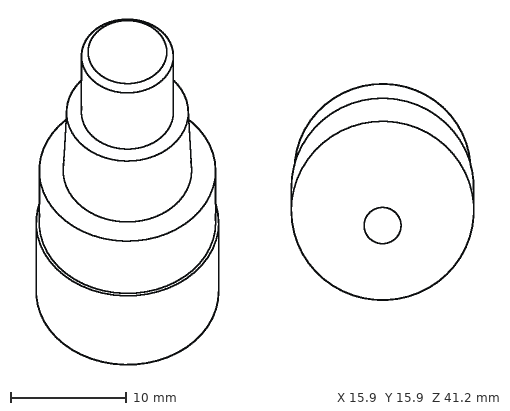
import cadquery as cq

total_height = 41.25
tip_diameter = 3.2
head_diameter = 15.9
cone_height = 6.45
head_height = 10.02
collar_diameter = 15.35
collar_height = 7.6
taper_base_diameter = 11.18
taper_top_diameter = 10.6
taper_height = 8.45
pin_diameter = 8.0
pin_chamfer = 0.58

head_base = cone_height
collar_base = head_base + head_height
taper_base = collar_base + collar_height
pin_base = taper_base + taper_height


def make_head():
    """Cylindrical head that narrows to a flat tip at the bottom."""
    profile = [
        (0, 0),
        (tip_diameter / 2, 0),
        (head_diameter / 2, head_base),
        (head_diameter / 2, collar_base),
        (0, collar_base),
    ]
    return cq.Workplane("XZ").polyline(profile).close().revolve(360, (0, 0), (0, 1))


def make_shank():
    """Stepped shank: collar, tapered neck and chamfered pin."""
    profile = [
        (0, collar_base),
        (collar_diameter / 2, collar_base),
        (collar_diameter / 2, taper_base),
        (taper_base_diameter / 2, taper_base),
        (taper_top_diameter / 2, pin_base),
        (pin_diameter / 2, pin_base),
        (pin_diameter / 2, total_height - pin_chamfer),
        (pin_diameter / 2 - pin_chamfer, total_height),
        (0, total_height),
    ]
    return cq.Workplane("XZ").polyline(profile).close().revolve(360, (0, 0), (0, 1))


head = make_head()
shank = make_shank()

result = cq.Compound.makeCompound([head.val(), shank.val()])